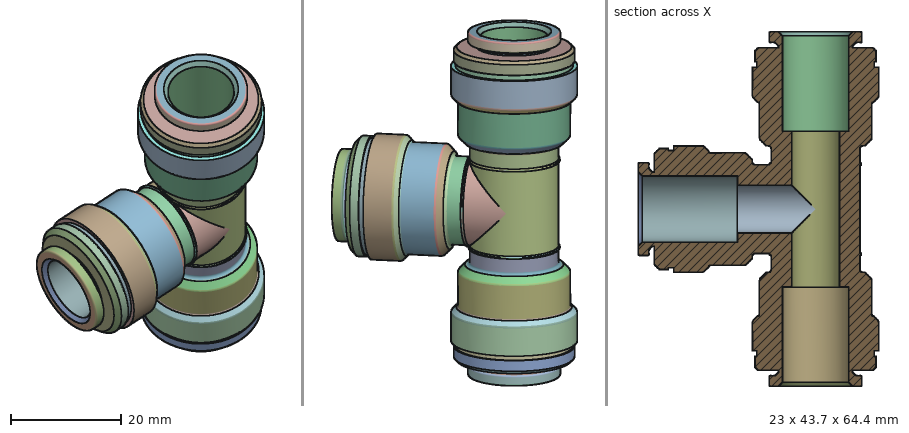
import cadquery as cq

ARM_LENGTH = 32.2

BORE_DIAMETER = 8.6
SOCKET_DIAMETER = 12.0
MOUTH_DIAMETER = 13.5
SOCKET_DEPTH = 18.0

COLLAR_DIAMETER = 16.9
COLLAR_DEPTH = 2.0
COLLAR_ROUNDING = 0.3
STEM_DIAMETER = 13.5
STEM_FLARE_DIAMETER = 14.7
STEM_FLARE_DEPTH = 2.6

CAP_DIAMETER = 22.0
CAP_FRONT_DEPTH = 2.9
CAP_BACK_DEPTH = 5.5
RUN_CAP_CHAMFER = 0.6
BRANCH_CAP_CHAMFER = 0.95
GROOVE_DIAMETER = 21.4
GROOVE_BACK_DEPTH = 6.45

HOUSING_DIAMETER = 23.0
HOUSING_BACK_DEPTH = 11.85
BARREL_DIAMETER = 20.5
BARREL_FRONT_DEPTH = 12.8
BARREL_BACK_DEPTH = 19.45
NECK_DIAMETER = 16.15
NECK_FRONT_DEPTH = 20.75
SHOULDER_ROUNDING = 0.5
BARREL_ROOT_ROUNDING = 0.25
NECK_ROOT_ROUNDING = 0.5

BEAD_RADIUS = 0.25
BEAD_OFFSET = 8.2


def circle_edge(arm, radius, depth):
    """Find the circular edge of an arm with this radius and depth."""
    tolerance = 0.005
    height = ARM_LENGTH - depth
    return arm.edges(
        cq.selectors.BoxSelector(
            (-radius - tolerance, -radius - tolerance, height - tolerance),
            (radius + tolerance, radius + tolerance, height + tolerance),
            boundingbox=True,
        )
    )


def make_arm(cap_chamfer):
    """Solid outer shape of one arm along +Z, from its bead to its open end."""
    cap_radius = CAP_DIAMETER / 2
    housing_shoulder_radius = HOUSING_DIAMETER / 2 - (BARREL_FRONT_DEPTH - HOUSING_BACK_DEPTH)
    barrel_shoulder_radius = BARREL_DIAMETER / 2 - (NECK_FRONT_DEPTH - BARREL_BACK_DEPTH)
    outline = [
        (0, 0),
        (COLLAR_DIAMETER / 2, 0),
        (COLLAR_DIAMETER / 2, COLLAR_DEPTH),
        (STEM_FLARE_DIAMETER / 2, COLLAR_DEPTH),
        (STEM_DIAMETER / 2, STEM_FLARE_DEPTH),
        (STEM_DIAMETER / 2, CAP_FRONT_DEPTH),
        (cap_radius - cap_chamfer, CAP_FRONT_DEPTH),
        (cap_radius, CAP_FRONT_DEPTH + cap_chamfer),
        (cap_radius, CAP_BACK_DEPTH),
        (GROOVE_DIAMETER / 2, CAP_BACK_DEPTH),
        (GROOVE_DIAMETER / 2, GROOVE_BACK_DEPTH),
        (HOUSING_DIAMETER / 2, GROOVE_BACK_DEPTH),
        (HOUSING_DIAMETER / 2, HOUSING_BACK_DEPTH),
        (housing_shoulder_radius, BARREL_FRONT_DEPTH),
        (BARREL_DIAMETER / 2, BARREL_FRONT_DEPTH),
        (BARREL_DIAMETER / 2, BARREL_BACK_DEPTH),
        (barrel_shoulder_radius, NECK_FRONT_DEPTH),
        (NECK_DIAMETER / 2, NECK_FRONT_DEPTH),
        (NECK_DIAMETER / 2, ARM_LENGTH - BEAD_OFFSET),
        (0, ARM_LENGTH - BEAD_OFFSET),
    ]
    arm = (
        cq.Workplane("XZ")
        .polyline([(radius, ARM_LENGTH - depth) for radius, depth in outline])
        .close()
        .revolve(360, (0, 0, 0), (0, 1, 0))
    )
    rounded_edges = [
        (COLLAR_DIAMETER, 0, COLLAR_ROUNDING),
        (COLLAR_DIAMETER, COLLAR_DEPTH, COLLAR_ROUNDING),
        (HOUSING_DIAMETER, HOUSING_BACK_DEPTH, SHOULDER_ROUNDING),
        (BARREL_DIAMETER, BARREL_FRONT_DEPTH, BARREL_ROOT_ROUNDING),
        (BARREL_DIAMETER, BARREL_BACK_DEPTH, SHOULDER_ROUNDING),
        (NECK_DIAMETER, NECK_FRONT_DEPTH, NECK_ROOT_ROUNDING),
    ]
    for diameter, depth, rounding in rounded_edges:
        arm = circle_edge(arm, diameter / 2, depth).fillet(rounding)

    bead = cq.Workplane("XY").add(cq.Solid.makeTorus(NECK_DIAMETER / 2, BEAD_RADIUS))
    return arm.union(bead.translate((0, 0, BEAD_OFFSET)))


def make_socket():
    """Tube socket and tapered mouth of one arm along +Z."""
    taper_depth = (MOUTH_DIAMETER - SOCKET_DIAMETER) / 2
    outline = [
        (0, ARM_LENGTH - SOCKET_DEPTH),
        (SOCKET_DIAMETER / 2, ARM_LENGTH - SOCKET_DEPTH),
        (SOCKET_DIAMETER / 2, ARM_LENGTH - taper_depth),
        (MOUTH_DIAMETER / 2, ARM_LENGTH),
        (0, ARM_LENGTH),
    ]
    return cq.Workplane("XZ").polyline(outline).close().revolve(360, (0, 0, 0), (0, 1, 0))


def make_rod(diameter, bottom, top):
    """Cylinder on the Z axis between two heights."""
    return cq.Workplane("XY").workplane(offset=bottom).circle(diameter / 2).extrude(top - bottom)


def along_branch(shape):
    """Turn a shape from the +Z direction to the -Y direction."""
    return shape.rotate((0, 0, 0), (1, 0, 0), 90)


def along_lower_run(shape):
    """Mirror a shape from the +Z direction to the -Z direction."""
    return shape.mirror("XY")


run_hub = make_rod(NECK_DIAMETER, -BEAD_OFFSET, BEAD_OFFSET)
branch_hub = make_rod(NECK_DIAMETER, 0, BEAD_OFFSET)
hub = run_hub.union(along_branch(branch_hub))

run_arm = make_arm(RUN_CAP_CHAMFER)
branch_arm = make_arm(BRANCH_CAP_CHAMFER)
body = hub.union(run_arm).union(along_lower_run(run_arm)).union(along_branch(branch_arm))

run_bore = make_rod(BORE_DIAMETER, -ARM_LENGTH, ARM_LENGTH)
branch_bore = make_rod(BORE_DIAMETER, 0, ARM_LENGTH)
body = body.cut(run_bore).cut(along_branch(branch_bore))

socket = make_socket()
result = body.cut(socket).cut(along_lower_run(socket)).cut(along_branch(socket))